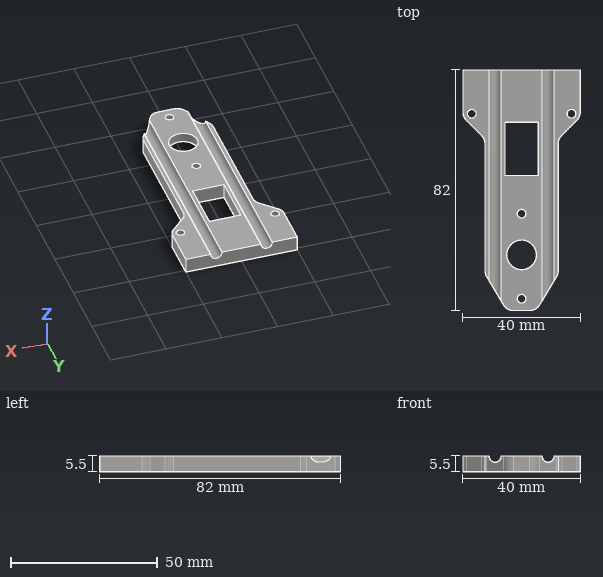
import cadquery as cq

length = 82.0
thickness = 5.5
ear_half_width = 20.0
body_half_width = 12.505
tip_half_width = 5.0
ear_side_length = 16.0
taper_length = 12.55
corner_radius = 4.0
rear_y = length / 2
tip_y = -length / 2
ear_corner_y = rear_y - ear_side_length
ear_slope_drop = ear_half_width - body_half_width

screw_diameter = 2.9
ear_screw_x = 17.0
ear_screw_y = 26.1
screw_positions = [
    (-ear_screw_x, ear_screw_y),
    (ear_screw_x, ear_screw_y),
    (0, -7.95),
    (0, -36.9),
]
round_opening_diameter = 10.0
round_opening_y = -22.0
recess_diameter = 16.4
recess_depth = 2.0
window_width = 11.2
window_length = 18.0
window_y = 14.1

groove_radius = 2.0
groove_center_depth = 0.2
groove_x = 9.0


def make_plate():
    right_side = [
        (ear_half_width, rear_y),
        (ear_half_width, ear_corner_y),
        (body_half_width, ear_corner_y - ear_slope_drop),
        (body_half_width, tip_y + taper_length),
        (tip_half_width, tip_y),
    ]
    left_side = [(-x, y) for x, y in reversed(right_side)]
    plate = cq.Workplane("XY").polyline(right_side + left_side).close().extrude(thickness)
    return plate.edges("|Z").edges("not >Y").fillet(corner_radius)


def make_groove(x):
    arc_center_z = thickness - groove_center_depth
    return (
        cq.Workplane("XZ", origin=(x, rear_y, 0))
        .moveTo(-groove_radius, thickness)
        .lineTo(-groove_radius, arc_center_z)
        .threePointArc((0, arc_center_z - groove_radius), (groove_radius, arc_center_z))
        .lineTo(groove_radius, thickness)
        .close()
        .extrude(length)
    )


def make_openings():
    screws = cq.Workplane("XY").pushPoints(screw_positions).circle(screw_diameter / 2).extrude(thickness)
    round_opening = (
        cq.Workplane("XY").center(0, round_opening_y).circle(round_opening_diameter / 2).extrude(thickness)
    )
    recess = cq.Workplane("XY").center(0, round_opening_y).circle(recess_diameter / 2).extrude(recess_depth)
    window = cq.Workplane("XY").center(0, window_y).rect(window_width, window_length).extrude(thickness)
    return [screws, round_opening, recess, window]


result = make_plate()
for opening in make_openings():
    result = result.cut(opening)
for side in (-1, 1):
    result = result.cut(make_groove(side * groove_x))